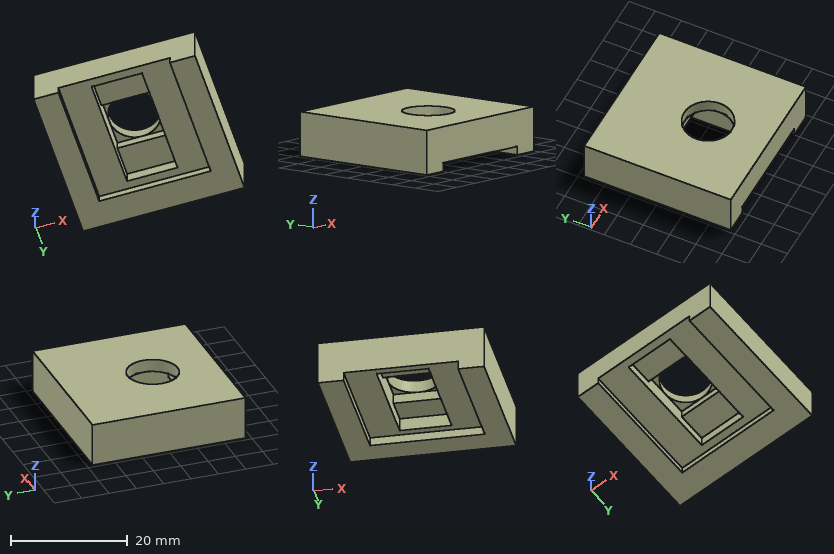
import cadquery as cq

block_length_x = 29.0
block_length_y = 28.0
block_height = 7.8
front_y = -block_length_y / 2

hole_diameter = 9.05
hole_to_front = 11.5
hole_y = front_y + hole_to_front

channel_width = 20.0
channel_length = 2 * hole_to_front
channel_roof_z = 1.5
slot_width = hole_diameter
slot_length = channel_width
slot_roof_z = 3.8
square_side = hole_diameter
square_roof_z = 5.5


def recess_step(size_x, size_y, roof_z):
    """Box centred below the hole, from the underside up to roof_z."""
    step = cq.Workplane("XY").box(size_x, size_y, roof_z, centered=(True, True, False))
    return step.translate((0, hole_y, 0))


def round_hole():
    """Cylinder of the round hole, over the full height of the block."""
    return cq.Workplane("XY").center(0, hole_y).circle(hole_diameter / 2).extrude(block_height)


block = cq.Workplane("XY").box(
    block_length_x, block_length_y, block_height, centered=(True, True, False)
)

channel = recess_step(channel_width, channel_length, channel_roof_z)
slot = recess_step(slot_width, slot_length, slot_roof_z)
square = recess_step(square_side, square_side, square_roof_z)

result = block.cut(channel).cut(slot).cut(square).cut(round_hole())